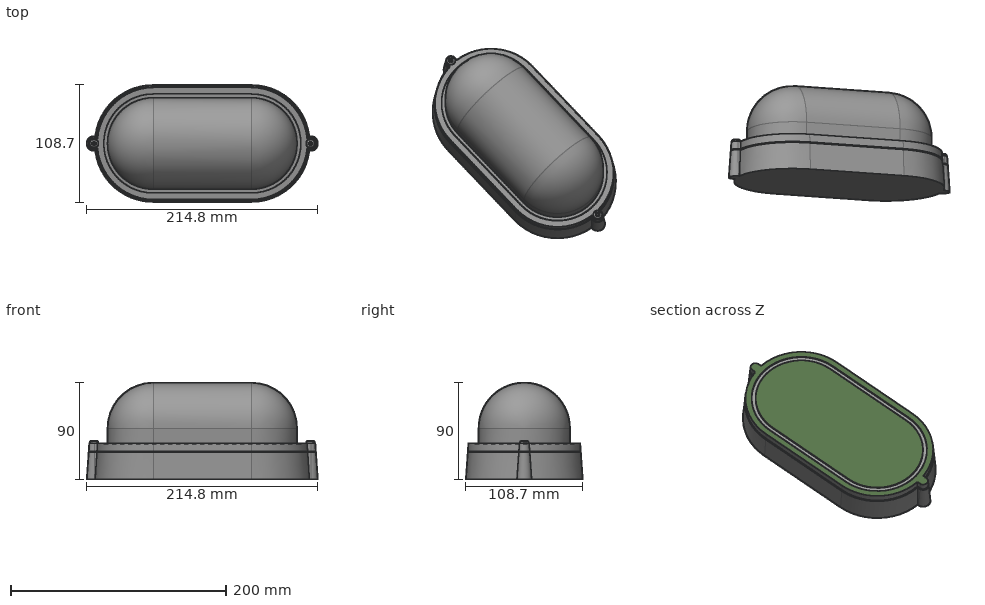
import cadquery as cq
import math

length = 214.8
width = 108.7
height = 90.0

housing_height = 33.7
draft_angle = 4.0
end_radius = width / 2
end_center = 45.5
inset_per_height = math.tan(math.radians(draft_angle))

seam_height = 25.8
seam_width = 0.9
seam_depth = 0.5

dome_radius = 42.5
dome_center_height = height - dome_radius
channel_radius = 46.0
channel_depth = 1.0

post_radius = 6.9
post_center = length / 2 - post_radius
screw_radius = 4.0
screw_rounding = 2.1
screw_height = 2.4
recess_length = 3.9
recess_width = 1.3
recess_depth = 1.3


def stadium(radius, base_height):
    """Closed stadium outline around the two end centers."""
    return (
        cq.Workplane("XY")
        .workplane(offset=base_height)
        .slot2D(2 * (end_center + radius), 2 * radius)
    )


def shell_layer(bottom, top, inset=0.0):
    """Slice of the drafted housing with its two posts, between two heights."""
    thickness = top - bottom
    shrink = bottom * inset_per_height + inset
    layer = stadium(end_radius - shrink, bottom).extrude(thickness, taper=draft_angle)
    posts = (
        cq.Workplane("XY")
        .workplane(offset=bottom)
        .slot2D(2 * (post_center + post_radius - shrink), 2 * (post_radius - shrink))
        .extrude(thickness, taper=draft_angle)
    )
    return layer.union(posts)


def housing():
    seam_bottom = seam_height - seam_width / 2
    seam_top = seam_height + seam_width / 2
    base = shell_layer(0, seam_bottom)
    seam = shell_layer(seam_bottom, seam_top, seam_depth)
    lid = shell_layer(seam_top, housing_height)
    channel = stadium(channel_radius, housing_height - channel_depth).extrude(channel_depth)
    return base.union(seam).union(lid).cut(channel)


def dome():
    foot_height = housing_height - channel_depth
    wall = stadium(dome_radius, foot_height).extrude(dome_center_height - foot_height)
    half_profile = (
        cq.Workplane("XY")
        .workplane(offset=dome_center_height)
        .moveTo(-end_center - dome_radius, 0)
        .radiusArc((-end_center, dome_radius), dome_radius)
        .lineTo(end_center, dome_radius)
        .radiusArc((end_center + dome_radius, 0), dome_radius)
        .close()
    )
    cap = half_profile.revolve(180, (0, 0, 0), (1, 0, 0))
    return wall.union(cap)


def screw_head(side):
    head_top = housing_height + screw_height
    head = (
        cq.Workplane("XY", origin=(side * post_center, 0, housing_height))
        .circle(screw_radius)
        .extrude(screw_height)
        .faces(">Z")
        .edges()
        .fillet(screw_rounding)
    )
    for angle in (0, 90):
        recess = (
            cq.Workplane("XY", origin=(side * post_center, 0, head_top - recess_depth))
            .transformed(rotate=(0, 0, angle))
            .rect(recess_length, recess_width)
            .extrude(recess_depth)
        )
        head = head.cut(recess)
    return head


result = housing().union(dome())
for side in (-1, 1):
    result = result.union(screw_head(side))